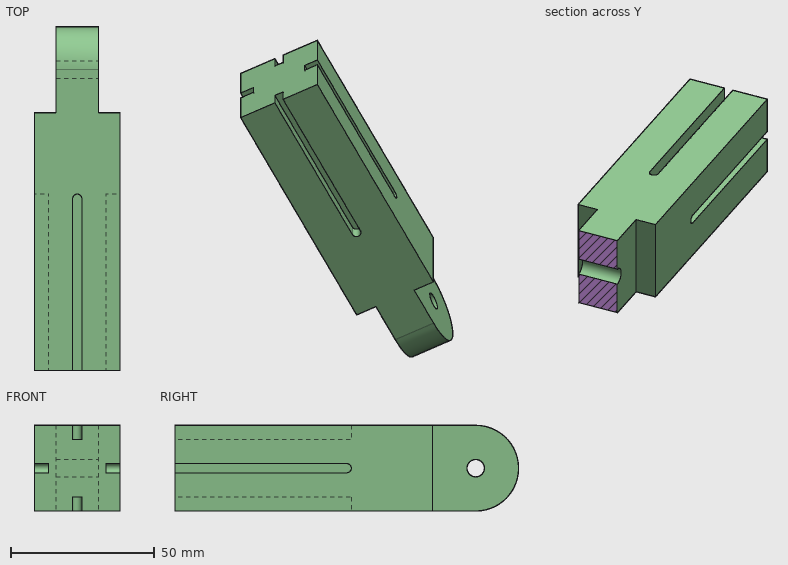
import cadquery as cq

body_side = 30.0
body_length = 90.0
tongue_thickness = body_side / 2
pivot_hole_diameter = 6.0
slot_width = 3.2
slot_depth = 5.0
slot_straight_length = 60.0

half_side = body_side / 2
tongue_radius = half_side
pivot_y = body_length + tongue_radius


def make_body():
    """Square bar along +Y with its slotted end face at Y = 0."""
    return cq.Workplane("XY").box(body_side, body_length, body_side, centered=(True, False, True))


def make_tongue():
    """Round-ended tongue, centred on X, that carries the pivot hole."""
    return (
        cq.Workplane("YZ")
        .moveTo(body_length, -half_side)
        .lineTo(pivot_y, -half_side)
        .threePointArc((pivot_y + tongue_radius, 0), (pivot_y, half_side))
        .lineTo(body_length, half_side)
        .close()
        .extrude(tongue_thickness / 2, both=True)
    )


def make_pivot_hole():
    """Cylinder along X through the tongue."""
    return (
        cq.Workplane("YZ")
        .center(pivot_y, 0)
        .circle(pivot_hole_diameter / 2)
        .extrude(tongue_thickness, both=True)
    )


def make_slot(angle):
    """Slot open at the end face with a rounded inner end, turned about the Y axis from the top face."""
    half_width = slot_width / 2
    slot = (
        cq.Workplane("XY", origin=(0, 0, half_side - slot_depth))
        .moveTo(-half_width, 0)
        .lineTo(-half_width, slot_straight_length)
        .threePointArc((0, slot_straight_length + half_width), (half_width, slot_straight_length))
        .lineTo(half_width, 0)
        .close()
        .extrude(slot_depth)
    )
    return slot.rotate((0, 0, 0), (0, 1, 0), angle)


result = make_body().union(make_tongue()).cut(make_pivot_hole())
for face_angle in (0, 90, 180, 270):
    result = result.cut(make_slot(face_angle))